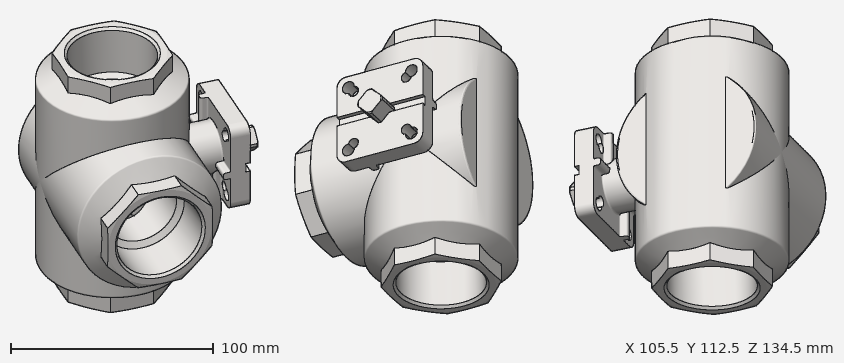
import cadquery as cq
import math

body_diameter = 76.0
body_radius = body_diameter / 2
run_length = 134.5
overall_x = 105.5
overall_y = 112.5
branch_reach = overall_x - body_radius
branch_back = 31.3
branch_back_fillet = 1.0

collar_sides = 8
collar_across_flats = 55.1
collar_face_diameter = 54.3
collar_bevel_angle = 12.0
shoulder_setback = 14.8
shoulder_angle = 30.0
shoulder_fillet = 1.2

bore_diameter = 38.0
socket_diameter = 44.8
socket_depth = 26.0
socket_floor_angle = 30.0
mouth_chamfer = 1.3

stem_diameter = 27.0
stem_root_fillet = 0.8
flange_size = 48.2
flange_corner_radius = 5.0
flange_outer_y = 63.8
flange_thickness = 10.4
flange_inner_y = flange_outer_y - flange_thickness

bolt_patterns = [(50.0, 6.6), (42.0, 5.5)]

rib_width = 3.9
rib_height = 3.9
rib_tip_fillet = 1.3
rib_root_fillet = 0.8
side_rib_offset = 2.5
upper_rib_offset = 9.7

drive_end_y = overall_y - body_radius
drive_across_flats = 11.0
drive_corner_diameter = 14.0
drive_chamfer = 0.7
slot_width = 4.8
slot_depth = 2.4


def rise(radial_distance, angle):
    """Axial height of a cone over a radial distance, for an angle measured from its base."""
    return radial_distance * math.tan(math.radians(angle))


def revolve_about_z(profile):
    """Close a half profile drawn in the XZ plane and revolve it about Z."""
    return profile.close().revolve(360, (0, 0, 0), (0, 1, 0))


def along_x(solid):
    """Turn a solid built along +Z so that it points along +X."""
    return solid.rotate((0, 0, 0), (0, 1, 0), 90)


def along_y(solid):
    """Turn a solid built along +Z so that it points along +Y."""
    return solid.rotate((0, 0, 0), (1, 0, 0), -90)


def shouldered_cylinder(bottom, reach):
    """Body cylinder from `bottom` to a conical shoulder below an end face at `reach`."""
    shoulder_base = reach - shoulder_setback
    collar_radius = collar_face_diameter / 2
    shoulder_top = shoulder_base + rise(body_radius - collar_radius, shoulder_angle)
    slope = math.radians(shoulder_angle)
    tangent_length = rise(shoulder_fillet, (90 - shoulder_angle) / 2)
    fillet_end = (
        body_radius - tangent_length * math.cos(slope),
        shoulder_base + tangent_length * math.sin(slope),
    )
    return revolve_about_z(
        cq.Workplane("XZ")
        .moveTo(0, bottom)
        .lineTo(body_radius, bottom)
        .lineTo(body_radius, shoulder_base - tangent_length)
        .radiusArc(fillet_end, -shoulder_fillet)
        .lineTo(collar_radius, shoulder_top)
        .lineTo(0, shoulder_top)
    )


def octagonal_collar(reach):
    """Octagonal collar reaching down into the shoulder, its end corners turned to a bevel."""
    collar_base = reach - shoulder_setback
    across_corners = collar_across_flats / math.cos(math.pi / collar_sides)
    octagon = (
        cq.Workplane("XY")
        .workplane(offset=collar_base)
        .polygon(collar_sides, across_corners)
        .extrude(shoulder_setback)
        .rotate((0, 0, 0), (0, 0, 1), 180 / collar_sides)
    )
    face_radius = collar_face_diameter / 2
    corner_radius = across_corners / 2
    bevel_drop = rise(corner_radius - face_radius, collar_bevel_angle)
    turned_blank = revolve_about_z(
        cq.Workplane("XZ")
        .moveTo(0, collar_base)
        .lineTo(corner_radius, collar_base)
        .lineTo(corner_radius, reach - bevel_drop)
        .lineTo(face_radius, reach)
        .lineTo(0, reach)
    )
    return octagon.intersect(turned_blank)


def stepped_bore(reach):
    """Bore from the body centre with a conical-floored socket and a chamfered mouth."""
    bore_radius = bore_diameter / 2
    socket_radius = socket_diameter / 2
    floor = reach - socket_depth
    return revolve_about_z(
        cq.Workplane("XZ")
        .lineTo(bore_radius, 0)
        .lineTo(bore_radius, floor - rise(socket_radius - bore_radius, socket_floor_angle))
        .lineTo(socket_radius, floor)
        .lineTo(socket_radius, reach - mouth_chamfer)
        .lineTo(socket_radius + mouth_chamfer, reach)
        .lineTo(0, reach)
    )


def make_body():
    """Run shouldered at both ends, crossed by a branch shouldered at +X and flat at the back."""
    half_run = run_length / 2
    upper_shoulder = shouldered_cylinder(-half_run, half_run)
    collar = octagonal_collar(half_run)
    run = upper_shoulder.intersect(upper_shoulder.mirror("XY"))
    run = run.union(collar).union(collar.mirror("XY"))
    branch = shouldered_cylinder(-branch_back, branch_reach)
    branch = branch.faces("<Z").edges().fillet(branch_back_fillet)
    branch = branch.union(octagonal_collar(branch_reach))
    return run.union(along_x(branch))


def cut_bores(solid):
    """Cut the three stepped bores, which meet at the body centre."""
    upper = stepped_bore(run_length / 2)
    bores = upper.union(upper.mirror("XY")).union(along_x(stepped_bore(branch_reach)))
    return solid.cut(bores)


def make_stem():
    """Neck from inside the body wall up to the flange, with a fillet at the flange."""
    mid_wall_diameter = (bore_diameter + body_diameter) / 2
    start = mid_wall_diameter / 2
    radius = stem_diameter / 2
    neck = (
        cq.Workplane("XZ")
        .moveTo(0, start)
        .lineTo(radius, start)
        .lineTo(radius, flange_inner_y - stem_root_fillet)
        .radiusArc((radius + stem_root_fillet, flange_inner_y), stem_root_fillet)
        .lineTo(0, flange_inner_y)
    )
    return along_y(revolve_about_z(neck))


def make_flange():
    """Rounded square plate with overlapping bolt holes and a slot across its outer face."""
    plate = (
        cq.Workplane("XY")
        .workplane(offset=flange_inner_y)
        .rect(flange_size, flange_size)
        .extrude(flange_thickness)
        .edges("|Z")
        .fillet(flange_corner_radius)
    )
    for circle_diameter, hole_diameter in bolt_patterns:
        holes = (
            cq.Workplane("XY")
            .workplane(offset=flange_inner_y)
            .polarArray(circle_diameter / 2, 45, 360, 4)
            .circle(hole_diameter / 2)
            .extrude(flange_thickness)
        )
        plate = plate.cut(holes)
    slot = cq.Workplane("XY").box(flange_size, slot_width, slot_depth, centered=(True, True, False))
    return along_y(plate.cut(slot.translate((0, 0, flange_outer_y - slot_depth))))


def make_rib(offset):
    """Rib from the -X flange edge to the stem, at height Z = offset, with a rounded tip and roots."""
    half_width = rib_width / 2
    foot = half_width + rib_root_fillet
    root_y = flange_inner_y - rib_root_fillet
    tip_y = flange_inner_y - rib_height
    profile = (
        cq.Workplane("YZ")
        .moveTo(flange_inner_y, -foot)
        .radiusArc((root_y, -half_width), -rib_root_fillet)
        .lineTo(tip_y + rib_tip_fillet, -half_width)
        .radiusArc((tip_y, rib_tip_fillet - half_width), rib_tip_fillet)
        .lineTo(tip_y, half_width - rib_tip_fillet)
        .radiusArc((tip_y + rib_tip_fillet, half_width), rib_tip_fillet)
        .lineTo(root_y, half_width)
        .radiusArc((flange_inner_y, foot), -rib_root_fillet)
        .close()
    )
    half_size = flange_size / 2
    return profile.extrude(half_size).translate((-half_size, 0, offset))


def make_ribs():
    """Side and upper ribs, repeated by a half turn about the stem axis."""
    side_rib = make_rib(side_rib_offset)
    upper_rib = make_rib(-upper_rib_offset).rotate((0, 0, 0), (0, 1, 0), 90)
    pair = side_rib.union(upper_rib)
    return pair.union(pair.rotate((0, 0, 0), (0, 1, 0), 180))


def make_drive():
    """Square drive set corner-up, its corners turned round and its end chamfered."""
    start = flange_outer_y - slot_depth
    length = drive_end_y - start
    square = (
        cq.Workplane("XY")
        .workplane(offset=start)
        .rect(drive_across_flats, drive_across_flats)
        .extrude(length)
        .rotate((0, 0, 0), (0, 0, 1), 45)
    )
    blank = (
        cq.Workplane("XY")
        .workplane(offset=start)
        .circle(drive_corner_diameter / 2)
        .extrude(length)
        .faces(">Z")
        .chamfer(drive_chamfer)
    )
    return along_y(square.intersect(blank))


result = cut_bores(make_body())
for feature in (make_stem(), make_flange(), make_ribs(), make_drive()):
    result = result.union(feature)